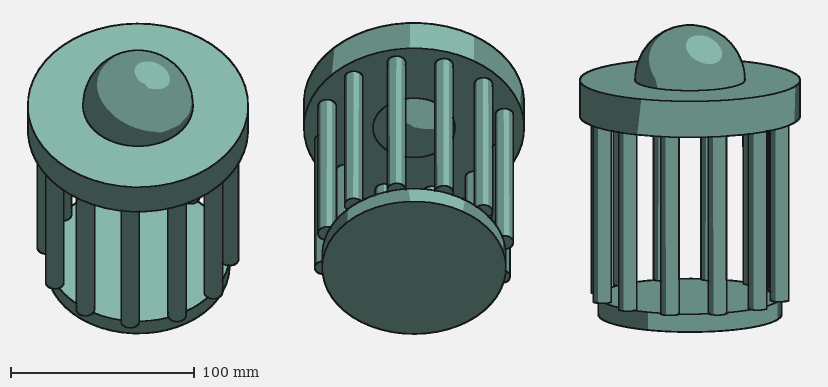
import cadquery as cq

base_diameter = 100.0
plate_diameter = 120.0
plate_thickness = 20.0
pillar_length = 100.0
pillar_count = 12

base_thickness = plate_thickness / 2
pillar_diameter = base_thickness
pillar_circle_radius = base_diameter / 2
ball_radius = plate_diameter / 4
plate_bottom = base_thickness + pillar_length
plate_top = plate_bottom + plate_thickness


def disc(diameter, thickness, bottom):
    """Round plate centred on the Z axis."""
    return cq.Workplane("XY").workplane(offset=bottom).circle(diameter / 2).extrude(thickness)


def pillar_ring():
    """Evenly spaced pillars standing between the base and the plate."""
    return (
        cq.Workplane("XY")
        .workplane(offset=base_thickness)
        .polarArray(pillar_circle_radius, 0, 360, pillar_count)
        .circle(pillar_diameter / 2)
        .extrude(pillar_length)
    )


def ball():
    """Ball centred on the top face of the plate, showing above and below it."""
    return cq.Workplane("XY").sphere(ball_radius).translate((0, 0, plate_top))


base = disc(base_diameter, base_thickness, 0)
plate = disc(plate_diameter, plate_thickness, plate_bottom)
result = base.union(pillar_ring()).union(plate).union(ball())